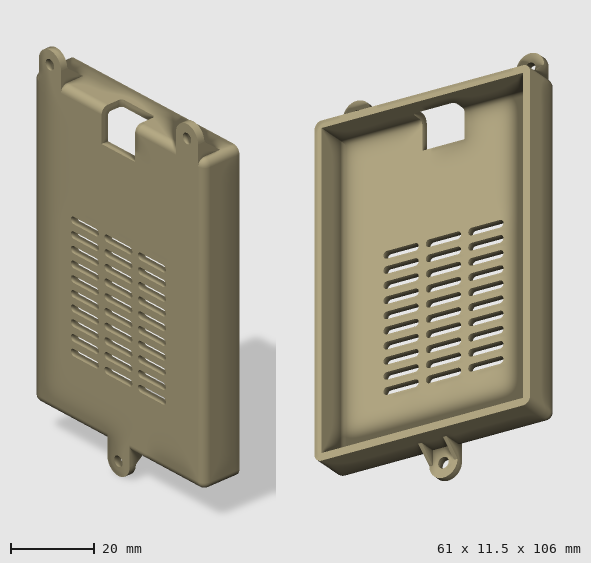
import cadquery as cq

total_height = 106.0
body_width = 61.0
body_depth = 11.5
body_height = 90.0

wall = 2.0
floor_thickness = 2.0
edge_radius = 2.0
inner_radius = 1.0

lug_width = 8.0
lug_thickness = 2.0
lug_hole_diameter = 3.0
lug_radius = lug_width / 2
lug_reach = (total_height - body_height) / 2
lug_straight = lug_reach - lug_radius
gusset_thickness = 1.0
gusset_top = 7.0

window_width = 12.0
window_height = 10.0
window_depth = 6.5
window_corner_radius = 1.0

vent_columns = 3
vent_rows = 10
vent_length = 10.0
vent_width = 2.0
vent_column_pitch = 12.0
vent_field_height = 36.0
vent_row_pitch = vent_field_height / (vent_rows - 1)
vent_field_z = -8.0

half_height = body_height / 2
lug_offset_x = body_width / 2 - edge_radius - lug_radius


def block(x_range, y_range, z_range):
    """Box spanning the given ranges."""
    lows, highs = zip(x_range, y_range, z_range)
    sizes = [high - low for low, high in zip(lows, highs)]
    return cq.Workplane("XY").box(*sizes, centered=False).translate(lows)


def front_plane():
    """Sketch plane on the closed face, facing -Y, with local x along +X and local y along +Z."""
    return cq.Workplane("XZ")


def make_tray():
    """Open tray, rounded outside at its corners and floor, and inside where the floor meets the walls."""
    tray = front_plane().rect(body_width, body_height).extrude(-body_depth)
    tray = tray.edges("|Y").fillet(edge_radius)
    tray = tray.faces("<Y").edges().fillet(edge_radius)
    cavity = (
        front_plane()
        .workplane(offset=-floor_thickness)
        .rect(body_width - 2 * wall, body_height - 2 * wall)
        .extrude(floor_thickness - body_depth)
    )
    cavity = cavity.faces("<Y").edges().fillet(inner_radius)
    return tray.cut(cavity)


def make_gusset(x_start):
    """Triangular web between a lug and the upper end wall."""
    outer_z = half_height + lug_straight
    return (
        cq.Workplane("YZ")
        .workplane(offset=x_start)
        .moveTo(lug_thickness, half_height)
        .lineTo(gusset_top, half_height)
        .lineTo(lug_thickness, outer_z)
        .close()
        .extrude(gusset_thickness)
    )


def make_lug(x_center):
    """Round-ended lug on the upper end, with its two gussets and screw hole."""
    left = x_center - lug_radius
    right = x_center + lug_radius
    root_z = half_height - edge_radius
    hole_z = half_height + lug_straight
    lug = (
        front_plane()
        .moveTo(left, root_z)
        .lineTo(left, hole_z)
        .threePointArc((x_center, hole_z + lug_radius), (right, hole_z))
        .lineTo(right, root_z)
        .close()
        .extrude(-lug_thickness)
    )
    hole = front_plane().center(x_center, hole_z).circle(lug_hole_diameter / 2).extrude(-lug_thickness)
    lug = lug.cut(hole)
    for x_start in (left, right - gusset_thickness):
        lug = lug.union(make_gusset(x_start))
    return lug


def make_window():
    """Cutter for the connector window, with its two inner corners rounded."""
    cutter = block(
        (-window_width / 2, window_width / 2),
        (0, window_depth),
        (half_height - window_height, half_height),
    )
    return cutter.edges("|Z and >Y").fillet(window_corner_radius)


def make_vents():
    """Cutter for the grid of vent slots through the floor."""
    return (
        front_plane()
        .center(0, vent_field_z)
        .rarray(vent_column_pitch, vent_row_pitch, vent_columns, vent_rows)
        .slot2D(vent_length, vent_width)
        .extrude(-floor_thickness)
    )


result = make_tray()
for lug_x in (-lug_offset_x, lug_offset_x):
    result = result.union(make_lug(lug_x))
lower_lug = make_lug(0).mirror("XY")
result = result.union(lower_lug)
result = result.cut(make_window()).cut(make_vents())